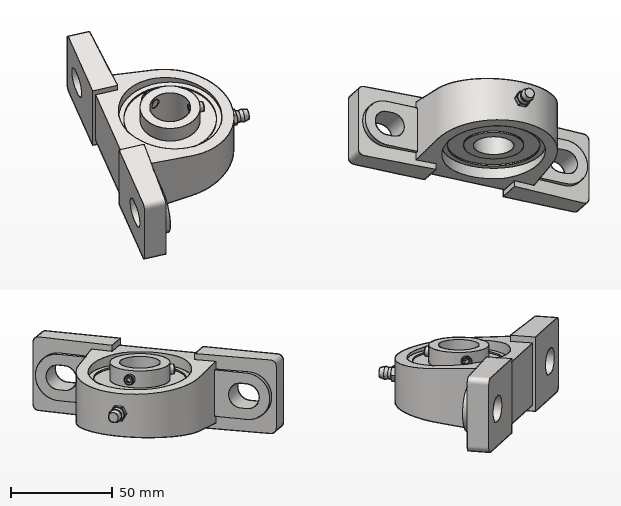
import cadquery as cq
import math


length = 127.0
foot_height = 38.0
axis_height = 33.3
foot_inner_x = 21.6
foot_inner_top_y = -20.3
foot_outer_top_y = -22.2
foot_corner_radius = 3.0
slot_center_x = 47.6
slot_length = 15.9
slot_width = 12.7
boss_radius = 12.0
boss_top_y = -19.2

crown_radius = 31.5
wall_foot_half_width = 32.5
taper_start_y = -20.2
base_half_height = 15.9
crown_half_height = 11.0
base_relief = 1.5

nipple_z = 1.1
nipple_hex_corners = 8.1
nipple_seat_y = 31.6
nipple_hex_top_y = 33.9
nipple_neck_y = 35.7
nipple_rim_y = 37.6
nipple_tip_y = 40.3
nipple_rim_radius = 3.3
nipple_neck_radius = 2.8
nipple_tip_radius = 2.5
nipple_shank_depth = 1.3

race_radius = 25.5
race_half_width = 10.2
seal_radius = 22.9
seal_depth = 0.8
collar_radius = 14.9
collar_top_z = 18.2
bore_radius = 10.0

screw_angles = (90, 210)
screw_z = 13.7
screw_radius = 2.5
screw_tip_distance = 17.1
screw_end_distance = 10.3
screw_chamfer = 0.4
screw_socket_corners = 2.9
screw_socket_depth = 1.5

base_y = -axis_height
relief_y = base_y + base_relief
slot_straight = slot_length - slot_width


def make_foot(side):
    """Foot with a sloped top and rounded outer corners; side is -1 or +1."""
    outer_x = length / 2
    foot = (
        cq.Workplane("XY", origin=(0, 0, -foot_height / 2))
        .moveTo(side * foot_inner_x, base_y)
        .lineTo(side * outer_x, base_y)
        .lineTo(side * outer_x, foot_outer_top_y)
        .lineTo(side * foot_inner_x, foot_inner_top_y)
        .close()
        .extrude(foot_height)
    )
    outer_face = ">X" if side > 0 else "<X"
    return foot.faces(outer_face).edges("|Y").fillet(foot_corner_radius)


def make_slot_boss(side):
    """Raised pad around the slot, running inward to the housing body."""
    round_x = slot_center_x + slot_straight / 2
    pad_height = boss_top_y - base_y
    pad = cq.Workplane("XZ", origin=(side * round_x, base_y, 0)).circle(boss_radius).extrude(-pad_height)
    bridge_length = round_x - foot_inner_x
    bridge_x = side * (round_x + foot_inner_x) / 2
    bridge = (
        cq.Workplane("XZ", origin=(bridge_x, base_y, 0))
        .rect(bridge_length, 2 * boss_radius)
        .extrude(-pad_height)
    )
    return pad.union(bridge)


def make_slot(side):
    """Through slot for the mounting bolt."""
    return (
        cq.Workplane("XZ", origin=(side * slot_center_x, base_y, 0))
        .slot2D(slot_length, slot_width)
        .extrude(-axis_height)
    )


def make_body():
    """Arched body with side walls tangent to the crown and faces that taper towards it.

    The side walls run straight down into the sloped feet.
    """
    wall_foot_distance = math.hypot(wall_foot_half_width, foot_outer_top_y)
    wall_foot_angle = math.atan2(foot_outer_top_y, wall_foot_half_width)
    tangent_angle = wall_foot_angle + math.acos(crown_radius / wall_foot_distance)
    tangent_x = crown_radius * math.cos(tangent_angle)
    tangent_y = crown_radius * math.sin(tangent_angle)
    arch = (
        cq.Workplane("XY", origin=(0, 0, -base_half_height))
        .moveTo(-wall_foot_half_width, foot_outer_top_y)
        .lineTo(-tangent_x, tangent_y)
        .threePointArc((0, crown_radius), (tangent_x, tangent_y))
        .lineTo(wall_foot_half_width, foot_outer_top_y)
        .lineTo(foot_inner_x, foot_outer_top_y)
        .lineTo(foot_inner_x, relief_y)
        .lineTo(-foot_inner_x, relief_y)
        .lineTo(-foot_inner_x, foot_outer_top_y)
        .close()
        .extrude(2 * base_half_height)
    )
    side_profile = (
        cq.Workplane("YZ", origin=(-length / 2, 0, 0))
        .moveTo(base_y, -base_half_height)
        .lineTo(taper_start_y, -base_half_height)
        .lineTo(crown_radius, -crown_half_height)
        .lineTo(crown_radius, crown_half_height)
        .lineTo(taper_start_y, base_half_height)
        .lineTo(base_y, base_half_height)
        .close()
        .extrude(length)
    )
    return arch.intersect(side_profile)


def make_nipple():
    """Grease nipple: a shank in the crown, a hexagon just clear of the crown and a waisted, tapered head."""
    root_y = crown_radius - nipple_shank_depth
    hexagon = (
        cq.Workplane("XZ", origin=(0, nipple_seat_y, nipple_z))
        .polygon(6, nipple_hex_corners)
        .extrude(nipple_seat_y - nipple_hex_top_y)
    )
    head = (
        cq.Workplane("XY", origin=(0, 0, nipple_z))
        .moveTo(0, root_y)
        .lineTo(nipple_neck_radius, root_y)
        .lineTo(nipple_neck_radius, nipple_hex_top_y)
        .lineTo(nipple_rim_radius, nipple_hex_top_y)
        .lineTo(nipple_neck_radius, nipple_neck_y)
        .lineTo(nipple_rim_radius, nipple_rim_y)
        .lineTo(nipple_tip_radius, nipple_tip_y)
        .lineTo(0, nipple_tip_y)
        .close()
        .revolve(360, (0, 0, 0), (0, 1, 0))
    )
    return hexagon.union(head)


def make_housing():
    """Pillow block: body, feet with slotted pads, insert bore and grease nipple."""
    housing = make_body()
    for side in (-1, 1):
        housing = housing.union(make_foot(side)).union(make_slot_boss(side))
    for side in (-1, 1):
        housing = housing.cut(make_slot(side))
    bore = cq.Workplane("XY").circle(race_radius).extrude(foot_height / 2, both=True)
    return housing.cut(bore).union(make_nipple())


def screw_cylinder(radius, start, end):
    """Cylinder at the screw height, along +Y from start to end."""
    return cq.Workplane("ZX", origin=(0, start, screw_z)).circle(radius).extrude(end - start)


def turn_to(shape, angle):
    """Turn a shape that lies along +Y to the given angle from +X about the bearing axis."""
    return shape.rotate((0, 0, 0), (0, 0, 1), angle - 90)


def add_set_screw(ring, angle):
    """Screw with a chamfered, socketed tip outside the collar and its end set back from the bore."""
    screw = screw_cylinder(screw_radius, screw_end_distance, screw_tip_distance)
    screw = screw.faces(">Y").edges().chamfer(screw_chamfer)
    socket = (
        cq.Workplane("ZX", origin=(0, screw_tip_distance, screw_z))
        .polygon(6, screw_socket_corners)
        .extrude(-screw_socket_depth)
    )
    hole = screw_cylinder(screw_radius, 0, screw_tip_distance)
    return ring.cut(turn_to(hole, angle)).union(turn_to(screw.cut(socket), angle))


def make_insert():
    """Bearing insert: outer race, recessed seals, tall inner collar and its set screws."""
    seal_z = race_half_width - seal_depth
    insert = (
        cq.Workplane("XZ")
        .moveTo(bore_radius, -race_half_width)
        .lineTo(collar_radius, -race_half_width)
        .lineTo(collar_radius, -seal_z)
        .lineTo(seal_radius, -seal_z)
        .lineTo(seal_radius, -race_half_width)
        .lineTo(race_radius, -race_half_width)
        .lineTo(race_radius, race_half_width)
        .lineTo(seal_radius, race_half_width)
        .lineTo(seal_radius, seal_z)
        .lineTo(collar_radius, seal_z)
        .lineTo(collar_radius, collar_top_z)
        .lineTo(bore_radius, collar_top_z)
        .close()
        .revolve(360, (0, 0, 0), (0, 1, 0))
    )
    for angle in screw_angles:
        insert = add_set_screw(insert, angle)
    return insert


housing = make_housing()
insert = make_insert()
result = cq.Compound.makeCompound([housing.solids().val(), insert.solids().val()])